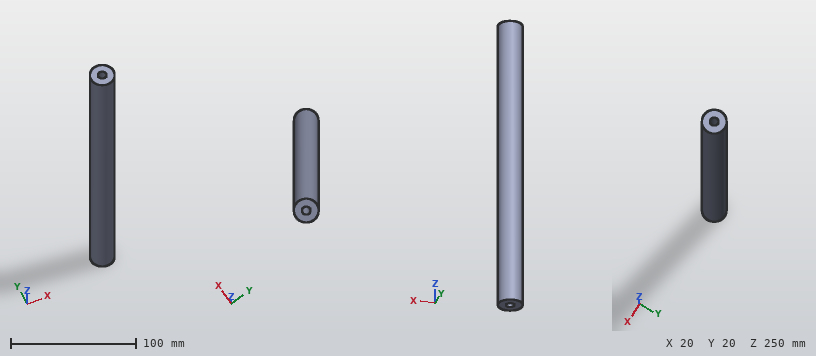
import cadquery as cq

length = 250.0
outer_diameter = 20.0
bore_diameter = 6.8

result = (
    cq.Workplane("XY")
    .circle(outer_diameter / 2)
    .circle(bore_diameter / 2)
    .extrude(length)
)